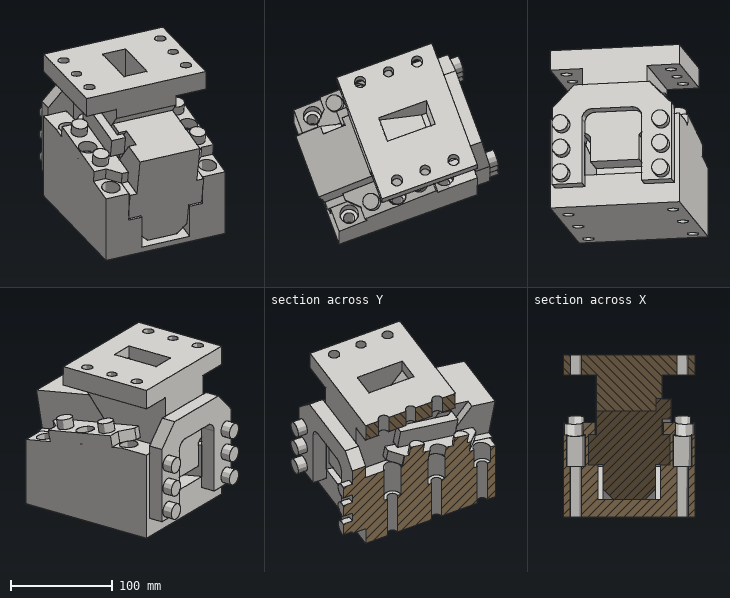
import cadquery as cq
import math

overall_length = 180.0
overall_width = 130.0
overall_height = 160.0

base_length = 145.0
base_height = 90.0
tilt = 10.0
slideway_start = 29.5

wing_width = 80.0
ledge_depth = 29.3
floor_depth = 62.6
channel_width = 61.2
keyway_width = 52.0
keyway_start = 64.6

gib_length = 99.5
gib_thickness = 12.0
gib_gap = 66.5
gib_corner = 11.9

head_diameter = 16.0
head_height = 10.0
screw_row_spacing = 105.1
gib_screw_places = (25.0, 75.0)
gib_bore_place = 50.0
gib_bore_spacing = 109.4
gib_bore_diameter = 18.4
mount_hole_places = (30.0, 79.0, 130.0)
mount_hole_diameter = 11.0
counterbore_diameter = 18.0
counterbore_floor = 50.0

plate_thickness = 15.0
plate_width = 119.7
plate_bottom = 20.0
plate_height = 100.0
plate_corner = 22.0
window_width = 60.0
window_top = 95.0
window_radius = 10.0
plate_screw_spacing = 100.0
plate_screw_heights = (30.0, 55.0, 79.9)

flange_length = 100.0
flange_thickness = 20.0
stem_width = 65.1
foot_width = 49.0
foot_bottom = 45.2
shoulder_height = 74.5
shoulder_radius = 9.5
slope = 50.0
slope_top = 130.0
flange_hole_places = (20.3, 50.2, 79.9)
flange_hole_diameters = (11.0, 10.0, 11.0)
pocket_start = 25.0
pocket_length = 50.0
pocket_width = 25.0
pocket_ledge = 5.2
pocket_shallow_depth = 12.5

slide_height = 40.0
slide_width = 65.1
keel_start = 16.5
keel_corner = 10.0
wing_start = 45.5
groove_offset = 13.0
groove_width = 20.0
groove_depth = 8.1
groove_upright = 89.6
bar_start = 9.4
bar_length = 65.0
bar_bottom = 15.0
bar_height = 20.0
bar_inner = 26.6
bar_width = 15.0

tilt_cos = math.cos(math.radians(tilt))
tilt_sin = math.sin(math.radians(tilt))
slope_run = 1 / math.tan(math.radians(slope))
slope_sin = math.sin(math.radians(slope))
slide_right = overall_length - plate_thickness - head_height
slide_end = (slide_right - slideway_start - slide_height * tilt_sin) / tilt_cos
flange_bottom = overall_height - flange_thickness
far = 2 * overall_length

tilted = cq.Plane(origin=(slideway_start, 0, base_height), xDir=(tilt_cos, 0, -tilt_sin),
                  normal=(tilt_sin, 0, tilt_cos))


def tilted_box(along, across, up):
    """Box in the slideway frame, each argument a (low, high) pair."""
    return (cq.Workplane(tilted).workplane(offset=up[0])
            .moveTo((along[0] + along[1]) / 2, (across[0] + across[1]) / 2)
            .rect(along[1] - along[0], across[1] - across[0])
            .extrude(up[1] - up[0]))


def centred(width):
    return (-width / 2, width / 2)


def side_profile(points, width):
    """Prism with an XZ outline, centred on Y = 0."""
    return cq.Workplane("XZ").polyline(points).close().extrude(width / 2, both=True)


def slope_x(height, offset=0.0):
    """X on a line parallel to the wedge face, shifted square to it toward +X."""
    return flange_length - (slope_top - height) * slope_run + offset / slope_sin


def make_gib(side):
    """Gib on one side (-1 or 1) with its screw heads and access bore."""
    outer = side * overall_width / 2
    inner = side * gib_gap / 2
    knee = side * wing_width / 2
    shoulder = knee + side * gib_corner
    outline = [(0, inner), (0, knee), (gib_corner, shoulder), (gib_corner, outer),
               (gib_length - gib_corner, outer), (gib_length - gib_corner, shoulder),
               (gib_length, knee), (gib_length, inner)]
    gib = cq.Workplane(tilted).polyline(outline).close().extrude(gib_thickness)
    heads = (cq.Workplane(tilted).workplane(offset=gib_thickness)
             .pushPoints([(place, side * screw_row_spacing / 2) for place in gib_screw_places])
             .circle(head_diameter / 2).extrude(head_height))
    bore = (cq.Workplane(tilted).center(gib_bore_place, side * gib_bore_spacing / 2)
            .circle(gib_bore_diameter / 2).extrude(gib_thickness))
    return gib.union(heads).cut(bore)


def make_end_plate():
    """Plate around the left opening of the base, with its screw heads."""
    plate = (cq.Workplane("XY")
             .box(plate_thickness, plate_width, plate_height, centered=(False, True, False))
             .translate((-plate_thickness, 0, plate_bottom))
             .edges("|X and >Z").chamfer(plate_corner))
    window = (cq.Workplane("XY")
              .box(plate_thickness, window_width, window_top, centered=(False, True, False))
              .translate((-plate_thickness, 0, 0))
              .edges("|X and >Z").fillet(window_radius))
    places = [(side * plate_screw_spacing / 2, height)
              for side in (-1, 1) for height in plate_screw_heights]
    heads = (cq.Workplane("YZ").workplane(offset=-plate_thickness).pushPoints(places)
             .circle(head_diameter / 2).extrude(-head_height))
    return plate.cut(window).union(heads)


def make_base():
    """Base block with slideway, gibs and end plate in one piece."""
    low_end = base_height - (base_length - slideway_start) * tilt_sin / tilt_cos
    body = side_profile([(0, 0), (base_length, 0), (base_length, low_end),
                         (slideway_start, base_height), (0, base_height)], overall_width)

    body = body.cut(tilted_box((-far, far), centred(wing_width), (-ledge_depth, far)))
    body = body.cut(tilted_box((-far, far), centred(keyway_width), (-floor_depth, 0)))
    body = body.cut(tilted_box((-far, keyway_start), centred(channel_width), (-floor_depth, 0)))

    places = [(x, side * screw_row_spacing / 2) for x in mount_hole_places for side in (-1, 1)]
    holes = cq.Workplane("XY").pushPoints(places).circle(mount_hole_diameter / 2).extrude(far)
    bores = (cq.Workplane("XY").workplane(offset=counterbore_floor).pushPoints(places)
             .circle(counterbore_diameter / 2).extrude(far))
    body = body.cut(holes).cut(bores)

    for side in (-1, 1):
        body = body.union(make_gib(side))
    return body.union(make_end_plate())


def make_bar():
    """Bar on the -Y side of the slide, reaching across the wedge."""
    return tilted_box((bar_start, bar_start + bar_length), (-bar_inner - bar_width, -bar_inner),
                      (bar_bottom, bar_bottom + bar_height))


def make_wedge():
    """Flange on a stem whose sloped underside pushes the slide."""
    flange = (cq.Workplane("XY")
              .box(flange_length, overall_width, flange_thickness, centered=(False, True, False))
              .translate((0, 0, flange_bottom)))
    stem = side_profile([(0, foot_bottom), (slope_x(foot_bottom), foot_bottom),
                         (flange_length, slope_top), (flange_length, flange_bottom),
                         (0, flange_bottom)], stem_width)

    half_stem = stem_width / 2
    half_foot = foot_width / 2
    arc_centre = shoulder_height - shoulder_radius
    arc_end = arc_centre + math.sqrt(shoulder_radius ** 2 - (half_stem - half_foot) ** 2)
    arc_start_angle = math.pi / 2
    arc_end_angle = math.atan2(arc_end - arc_centre, half_foot - half_stem)
    middle = (arc_start_angle + arc_end_angle) / 2
    arc_middle = (half_stem + shoulder_radius * math.cos(middle),
                  arc_centre + shoulder_radius * math.sin(middle))
    relief = (cq.Workplane("YZ").moveTo(half_foot, 0).lineTo(half_foot, arc_end)
              .threePointArc(arc_middle, (half_stem, shoulder_height))
              .lineTo(half_stem, 0).close().extrude(flange_length))
    stem = stem.cut(relief).cut(relief.mirror("XZ"))
    wedge = flange.union(stem)

    for x, diameter in zip(flange_hole_places, flange_hole_diameters):
        holes = (cq.Workplane("XY").workplane(offset=flange_bottom)
                 .pushPoints([(x, side * screw_row_spacing / 2) for side in (-1, 1)])
                 .circle(diameter / 2).extrude(flange_thickness))
        wedge = wedge.cut(holes)

    pocket_end = pocket_start + pocket_length
    ramp_foot = pocket_start + pocket_ledge
    ramp_top = overall_height - pocket_shallow_depth
    ledge = ramp_top - (pocket_end - ramp_foot) / slope_run
    pocket = side_profile([(pocket_start, ledge), (ramp_foot, ledge), (pocket_end, ramp_top),
                           (pocket_end, overall_height), (pocket_start, overall_height)],
                          pocket_width)
    wedge = wedge.cut(pocket)

    return wedge.cut(make_bar())


def make_keel():
    """Keel under the slide, with both lower edges chamfered."""
    half_keel = keyway_width / 2
    half_sole = half_keel - keel_corner
    keel_plane = cq.Plane(tilted.toWorldCoords((keel_start, 0, 0)), (0, 1, 0), tilted.xDir)
    return (cq.Workplane(keel_plane)
            .polyline([(-half_keel, 0), (half_keel, 0), (half_keel, keel_corner - floor_depth),
                       (half_sole, -floor_depth), (-half_sole, -floor_depth),
                       (-half_keel, keel_corner - floor_depth)])
            .close().extrude(slide_end - keel_start))


def make_groove():
    """Cutter for the groove in the -Y flank, parallel to the wedge face."""
    right_offset = groove_offset + groove_width
    bend_run = flange_length - groove_upright + groove_offset / slope_sin
    bend_height = slope_top - bend_run / slope_run
    strip = (cq.Workplane("XZ", origin=(0, groove_depth - slide_width / 2, 0))
             .polyline([(groove_upright, 0), (groove_upright, bend_height),
                        (slope_x(far, groove_offset), far), (slope_x(far, right_offset), far),
                        (slope_x(0, right_offset), 0)])
             .close().extrude(groove_depth))
    above_wings = tilted_box((0, far), centred(far), (0, far))
    return strip.intersect(above_wings)


def make_slide():
    """Tilted block that runs down the slideway."""
    wings = tilted_box((0, slide_end), centred(wing_width), (-ledge_depth, 0))
    block = tilted_box((0, slide_end), centred(slide_width), (-ledge_depth, slide_height))
    left_of_wings = side_profile([(-far, -far), (wing_start, -far), (wing_start, far), (-far, far)],
                                 far)
    core = tilted_box((0, slide_end), centred(keyway_width), (-ledge_depth, slide_height))
    slide = wings.union(block).cut(left_of_wings).union(core).union(make_keel())

    wedge_side = side_profile([(slope_x(-far), -far), (slope_x(far), far), (-far, far),
                               (-far, -far)], far)
    return slide.cut(wedge_side).cut(make_groove()).union(make_bar())


base = make_base().solids()
wedge = make_wedge().solids()
slide = make_slide().solids()

result = cq.Compound.makeCompound([base.val(), wedge.val(), slide.val()])